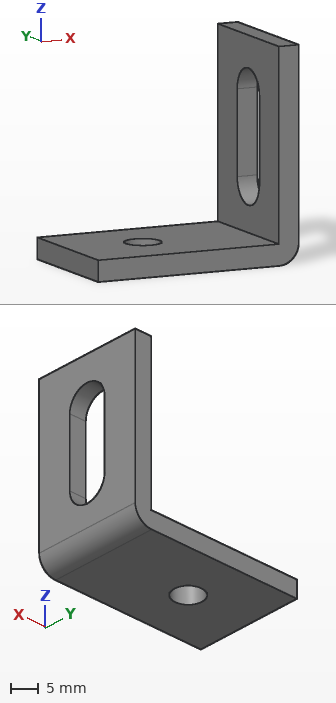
import cadquery as cq

leg_length = 40.0
width = 25.0
thickness = 4.0

hole_diameter = 6.8
hole_from_free_end = 15.0

slot_length = 25.0
slot_width = 9.0
slot_top_margin = 6.0


def bracket_body():
    """Two equal legs; the outer bend is centred on the sharp inside corner."""
    base = cq.Workplane("XY").box(leg_length, width, thickness, centered=(False, True, False))
    upright = (
        cq.Workplane("XY")
        .box(thickness, width, leg_length, centered=(False, True, False))
        .translate((leg_length - thickness, 0, 0))
    )
    return base.union(upright).edges("|Y and >X and <Z").fillet(thickness)


def round_hole():
    """Vertical cutter through the horizontal leg."""
    return (
        cq.Workplane("XY")
        .center(hole_from_free_end, 0)
        .circle(hole_diameter / 2)
        .extrude(thickness)
    )


def upright_slot():
    """Cutter through the upright leg, with its long axis vertical."""
    slot_center_z = leg_length - slot_top_margin - slot_length / 2
    return (
        cq.Workplane("YZ", origin=(leg_length - thickness, 0, slot_center_z))
        .slot2D(slot_length, slot_width, angle=90)
        .extrude(thickness)
    )


result = bracket_body().cut(round_hole()).cut(upright_slot())